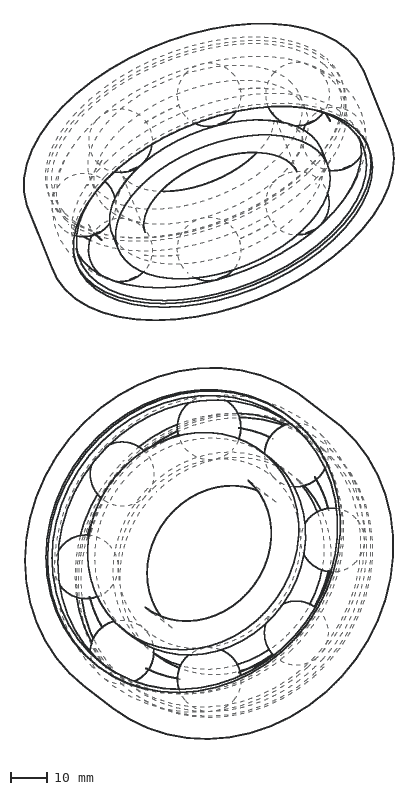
import cadquery as cq
import math

WIDTH = 25.0
OUTER_DIAMETER = 100.0
BORE_DIAMETER = 45.0
EDGE_FILLET = 1.5

INNER_SHOULDER_DIAMETER = 62.2
OUTER_SHOULDER_DIAMETER = 84.1
RECESS_DIAMETER = 86.7
RECESS_DEPTH = 1.3

BALL_COUNT = 8
BALL_RADIUS = 8.8
WIRE_RADIUS = 0.05
PITCH_RADIUS = (OUTER_DIAMETER + BORE_DIAMETER) / 4


def disc(diameter, length, start):
    """Cylinder about X that starts at the given X position."""
    return cq.Workplane("YZ").workplane(offset=start).circle(diameter / 2).extrude(length)


def pitch_torus(tube_radius):
    """Torus about X whose tube is centred on the pitch circle."""
    return cq.Workplane(
        cq.Solid.makeTorus(PITCH_RADIUS, tube_radius, cq.Vector(0, 0, 0), cq.Vector(1, 0, 0))
    )


def make_outer_ring():
    ring = disc(OUTER_DIAMETER, WIDTH, -WIDTH / 2).edges().fillet(EDGE_FILLET)
    ring = ring.cut(disc(OUTER_SHOULDER_DIAMETER, WIDTH, -WIDTH / 2))
    for start in (-WIDTH / 2, WIDTH / 2 - RECESS_DEPTH):
        ring = ring.cut(disc(RECESS_DIAMETER, RECESS_DEPTH, start))
    return ring.cut(pitch_torus(BALL_RADIUS))


def make_inner_ring():
    ring = disc(INNER_SHOULDER_DIAMETER, WIDTH, -WIDTH / 2)
    ring = ring.cut(disc(BORE_DIAMETER, WIDTH, -WIDTH / 2))
    ring = ring.edges(cq.selectors.RadiusNthSelector(0)).fillet(EDGE_FILLET)
    return ring.cut(pitch_torus(BALL_RADIUS))


def make_ball_set():
    ball_set = pitch_torus(WIRE_RADIUS)
    for index in range(BALL_COUNT):
        angle = 2 * math.pi * index / BALL_COUNT
        centre = (0, PITCH_RADIUS * math.cos(angle), PITCH_RADIUS * math.sin(angle))
        ball_set = ball_set.union(cq.Workplane("XY").sphere(BALL_RADIUS).translate(centre))
    return ball_set


outer_ring = make_outer_ring()
inner_ring = make_inner_ring()
ball_set = make_ball_set()

result = cq.Compound.makeCompound([outer_ring.val(), inner_ring.val(), *ball_set.vals()])